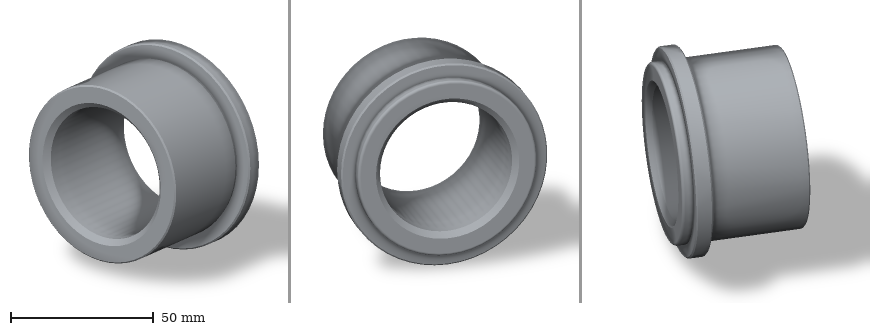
import cadquery as cq
import math

length = 46.0
flange_radius = 37.5
flange_width = 6.0
body_radius = 32.5
edge_chamfer = 0.5
spigot_length = 4.0
spigot_rounding = 1.0
relief_width = 1.5
relief_depth = 0.5
bore_radius = 24.0
bore_chamfer = 2.0

flange_back = length - spigot_length
flange_front = flange_back - flange_width
relief_start = flange_front - relief_width
relief_radius = body_radius - relief_depth
bore_mouth_radius = bore_radius + bore_chamfer

arc_drop = spigot_rounding * (1 - math.sqrt(0.5))
arc_middle = (body_radius - arc_drop, length - arc_drop)
arc_end = (body_radius - spigot_rounding, length)

section = (
    cq.Workplane("XY")
    .moveTo(bore_mouth_radius, 0)
    .lineTo(body_radius - edge_chamfer, 0)
    .lineTo(body_radius, edge_chamfer)
    .lineTo(body_radius, relief_start)
    .lineTo(relief_radius, relief_start + relief_depth)
    .lineTo(relief_radius, flange_front)
    .lineTo(flange_radius - edge_chamfer, flange_front)
    .lineTo(flange_radius, flange_front + edge_chamfer)
    .lineTo(flange_radius, flange_back - edge_chamfer)
    .lineTo(flange_radius - edge_chamfer, flange_back)
    .lineTo(body_radius, flange_back)
    .lineTo(body_radius, length - spigot_rounding)
    .threePointArc(arc_middle, arc_end)
    .lineTo(bore_mouth_radius, length)
    .lineTo(bore_radius, length - bore_chamfer)
    .lineTo(bore_radius, bore_chamfer)
    .close()
)

result = section.revolve(360, (0, 0, 0), (0, 1, 0))